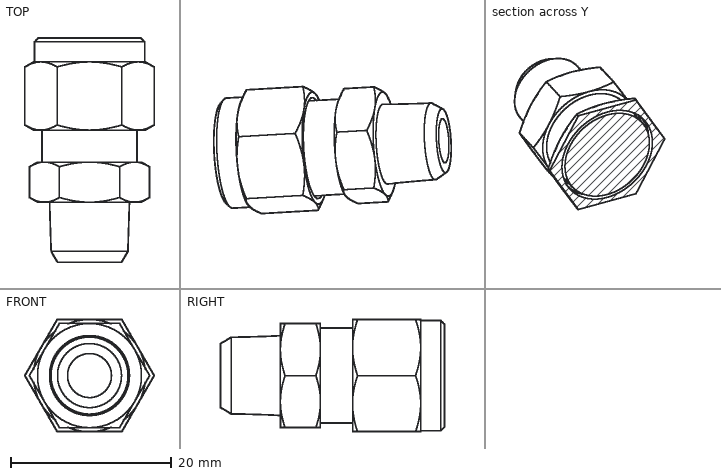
import cadquery as cq
import math

body_hex_start = 7.5
body_hex_end = 12.5
nut_start = 16.5
nut_end = 25.0
overall_length = 28.0

body_hex_flats = 13.0
nut_flats = 14.0
hex_chamfer_angle = 30.0

neck_diameter = 11.9
collar_diameter = 13.8
collar_chamfer = 0.5

thread_base_diameter = 10.0
thread_taper = 1 / 16
tip_diameter = 8.0
tip_chamfer_length = 1.35

bore_diameter = 5.5
bore_depth = 1.6

recess_diameter = 12.6
recess_depth = 2.0


def thread_radius(position):
    """Radius of the tapered thread envelope at a distance from the tip."""
    return (thread_base_diameter - thread_taper * (body_hex_start - position)) / 2


def revolve_about_axis(profile):
    """Revolve a closed (radius, position) profile about the Y axis."""
    return cq.Workplane("XY").polyline(profile).close().revolve(360, (0, 0, 0), (0, 1, 0))


def cylinder(diameter, start, end):
    """Solid cylinder along +Y from start to end."""
    plane = cq.Workplane("XZ", origin=(0, start, 0))
    return plane.circle(diameter / 2).extrude(start - end)


def chamfered_hex(flats, start, end):
    """Hexagonal prism along +Y whose corners are turned down at both ends."""
    corner_diameter = flats / math.cos(math.pi / 6)
    plane = cq.Workplane("XZ", origin=(0, start, 0))
    prism = plane.polygon(6, corner_diameter).extrude(start - end)

    flat_radius = flats / 2
    chamfer_slope = math.tan(math.radians(hex_chamfer_angle))
    corner_radius = corner_diameter / 2
    rise = (corner_radius - flat_radius) * chamfer_slope
    return prism.intersect(revolve_about_axis([
        (0, start),
        (flat_radius, start),
        (corner_radius, start + rise),
        (corner_radius, end - rise),
        (flat_radius, end),
        (0, end),
    ]))


def threaded_end():
    """Tapered male end with a chamfered tip."""
    return revolve_about_axis([
        (0, 0),
        (tip_diameter / 2, 0),
        (thread_radius(tip_chamfer_length), tip_chamfer_length),
        (thread_radius(body_hex_start), body_hex_start),
        (0, body_hex_start),
    ])


def collar():
    """Round rear collar of the nut with a chamfered outer edge."""
    return cylinder(collar_diameter, nut_end, overall_length).faces(">Y").edges().chamfer(collar_chamfer)


def nut():
    """Hexagonal nut with a round recess in its front face."""
    recess = cylinder(recess_diameter, nut_start, nut_start + recess_depth)
    return chamfered_hex(nut_flats, nut_start, nut_end).cut(recess)


result = (
    threaded_end()
    .union(chamfered_hex(body_hex_flats, body_hex_start, body_hex_end))
    .union(nut())
    .union(cylinder(neck_diameter, body_hex_end, nut_start + recess_depth))
    .union(collar())
    .cut(cylinder(bore_diameter, 0, bore_depth))
)